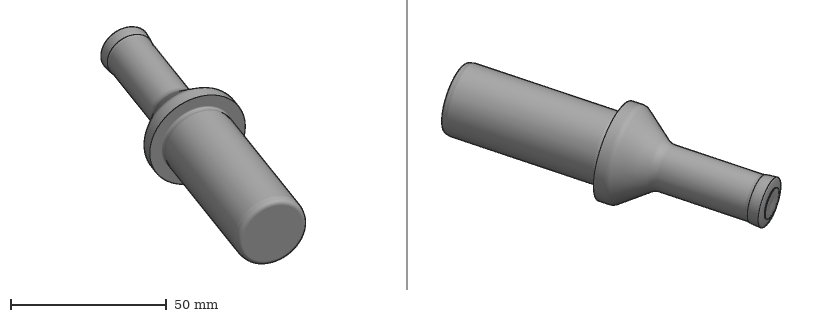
import cadquery as cq
import math


total_length = 111.9
head_end = 5.1

dimple_radius = 2.6
crown_radius = 3.8
boss_shoulder_radius = 5.0
boss_radius = 5.4
inner_ring_radius = 5.9
ring_radius = 6.9
face_radius = 8.1
dimple_depth = 0.2
dimple_rim_depth = 0.03
shoulder_setback = 0.03
boss_setback = 0.06
boss_step = 0.3
inner_ring_setback = 0.43
ring_setback = 0.54
face_setback = 0.7
head_radius = 8.6
head_corner_end = 1.1
corner_bulge = 0.08
head_taper_end = 3.8
head_taper_radius = 8.4

neck_radius = 16.0 / 2
seam_radius = (head_taper_radius + neck_radius) / 2
neck_taper_end = 6.2
cone_start = 38.8
cone_end = 50.8
neck_fillet = 5.0
rim_fillet = 2.8
flange_radius = 34.0 / 2
flange_back = 55.5

shank_radius = 25.0 / 2
relief_radius = 24.5 / 2
relief_fillet = 0.6
relief_flat_end = 56.7
relief_blend_end = 57.0
relief_blend_rise = 0.02
relief_end = 57.7
end_taper_start = 109.3
end_taper_end = 110.3
end_fillet = total_length - end_taper_end


def revolve_about_x(half_section):
    return half_section.close().revolve(360, (0, 0, 0), (1, 0, 0))


def make_head():
    """Head with a dimpled, stepped front face and a slightly tapered flank."""
    corner_run = head_corner_end - face_setback
    corner_rise = head_radius - face_radius
    chord = math.hypot(corner_run, corner_rise)
    corner_mid = (
        (face_setback + head_corner_end) / 2 - corner_bulge * corner_rise / chord,
        (face_radius + head_radius) / 2 + corner_bulge * corner_run / chord,
    )
    half_section = (
        cq.Workplane("XY")
        .moveTo(dimple_depth, 0)
        .lineTo(dimple_rim_depth, dimple_radius)
        .lineTo(0, crown_radius)
        .lineTo(shoulder_setback, boss_shoulder_radius)
        .lineTo(boss_setback, boss_radius)
        .lineTo(boss_setback + boss_step, boss_radius)
        .lineTo(inner_ring_setback, inner_ring_radius)
        .lineTo(ring_setback, ring_radius)
        .lineTo(face_setback, face_radius)
        .threePointArc(corner_mid, (head_corner_end, head_radius))
        .lineTo(head_taper_end, head_taper_radius)
        .lineTo(head_end, seam_radius)
        .lineTo(head_end, 0)
    )
    return revolve_about_x(half_section)


def make_shank():
    """Neck, conical flange and rear cylinder, with blended corners."""
    cone_angle = math.atan2(flange_radius - neck_radius, cone_end - cone_start)
    cos_cone = math.cos(cone_angle)
    sin_cone = math.sin(cone_angle)
    sin_half = math.sin(cone_angle / 2)
    cos_half = math.cos(cone_angle / 2)
    cos_45 = math.sqrt(0.5)

    neck_arc_x = cone_start - neck_fillet * math.tan(cone_angle / 2)
    neck_arc_r = neck_radius + neck_fillet
    rim_arc_x = cone_end + rim_fillet * math.tan(cone_angle / 2)
    rim_arc_r = flange_radius - rim_fillet
    relief_arc_x = flange_back + relief_fillet
    relief_arc_r = relief_radius + relief_fillet
    end_arc_r = relief_radius - end_fillet

    half_section = (
        cq.Workplane("XY")
        .moveTo(head_end, 0)
        .lineTo(head_end, seam_radius)
        .lineTo(neck_taper_end, neck_radius)
        .lineTo(neck_arc_x, neck_radius)
        .threePointArc(
            (neck_arc_x + neck_fillet * sin_half, neck_arc_r - neck_fillet * cos_half),
            (neck_arc_x + neck_fillet * sin_cone, neck_arc_r - neck_fillet * cos_cone),
        )
        .lineTo(rim_arc_x - rim_fillet * sin_cone, rim_arc_r + rim_fillet * cos_cone)
        .threePointArc(
            (rim_arc_x - rim_fillet * sin_half, rim_arc_r + rim_fillet * cos_half),
            (rim_arc_x, flange_radius),
        )
        .lineTo(flange_back, flange_radius)
        .lineTo(flange_back, relief_arc_r)
        .threePointArc(
            (relief_arc_x - relief_fillet * cos_45, relief_arc_r - relief_fillet * cos_45),
            (relief_arc_x, relief_radius),
        )
        .lineTo(relief_flat_end, relief_radius)
        .lineTo(relief_blend_end, relief_radius + relief_blend_rise)
        .lineTo(relief_end, shank_radius)
        .lineTo(end_taper_start, shank_radius)
        .lineTo(end_taper_end, relief_radius)
        .threePointArc(
            (end_taper_end + end_fillet * cos_45, end_arc_r + end_fillet * cos_45),
            (total_length, end_arc_r),
        )
        .lineTo(total_length, 0)
    )
    return revolve_about_x(half_section)


head = make_head()
shank = make_shank()
result = cq.Compound.makeCompound([head.val(), shank.val()])